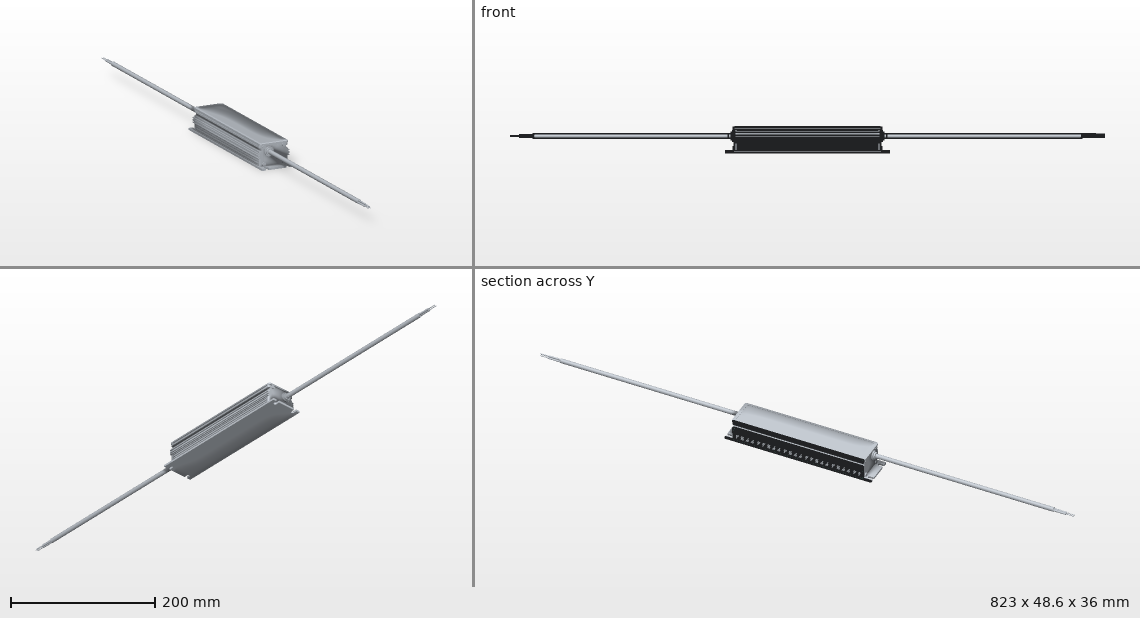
import cadquery as cq
import math

TOTAL_LENGTH = 823.0
TOTAL_WIDTH = 48.6
TOTAL_HEIGHT = 36.0
TOP_Z = TOTAL_HEIGHT / 2
BOTTOM_Z = -TOP_Z

BASE_LENGTH = 226.0
BASE_THICKNESS = 3.0
SLOT_WIDTH = 4.6
SLOT_DEPTH = 8.0
SLOT_Y = 16.1

HOUSING_LENGTH = 195.0
HOUSING_WIDTH = 44.6
WIDE_RIB_HEIGHT = 8.0
WIDE_GROOVE_DEPTH = 3.5
WIDE_GROOVE_Z = 8.7
WIDE_GROOVE_HEIGHT = 4.4
FIN_GROOVE_DEPTH = 1.0
FIN_GROOVE_HEIGHT = 1.6
FIN_GROOVE_ZS = (14.2, 2.0, -2.0, -6.0, -9.5, -13.0)

LID_LENGTH = 205.4
LID_HEIGHT = 3.0
LID_CORNER_RADIUS = 3.0
LID_CHAMFER_WIDTH = 2.4
LID_CHAMFER_HEIGHT = 0.6
PANEL_LENGTH = 195.0
PANEL_WIDTH = 37.0
PANEL_CORNER_RADIUS = 3.0
PANEL_DEPTH = 0.4

CAP_LENGTH = 202.0
CAP_CORNER_RADIUS = 2.0
PAD_WIDTH = 30.0
PAD_HEIGHT = 26.0
PAD_THICKNESS = 0.3
SCREW_HEAD_DIAMETER = 5.6
SCREW_END_X = 102.8
SCREW_Y = 15.5
SCREW_Z = 12.4

CABLE_Y = -7.8
CABLE_Z = 5.5
GLAND_DIAMETER = 14.0
GLAND_FLANGE_END_X = 103.5
GLAND_NECK_DIAMETER = 10.9
GLAND_NECK_END_X = 106.0
GLAND_COLLAR_DIAMETER = 6.8
GLAND_COLLAR_END_X = 110.0

CABLE_DIAMETER = 6.5
CABLE_END_X = 380.0
INSULATION_END_X = 399.0
OUTPUT_WIRE_DIAMETER = 2.9
OUTPUT_CORE_DIAMETER = 1.2
INPUT_WIRE_DIAMETER = 2.4
INPUT_CORE_DIAMETER = 1.2
INPUT_WIRE_COUNT = 3
INPUT_WIRE_CIRCLE_RADIUS = 1.6


def centred_box(length, width, z_low, z_high):
    """Box centred on X and Y between two heights."""
    box = cq.Workplane("XY").box(length, width, z_high - z_low, centered=(True, True, False))
    return box.translate((0, 0, z_low))


def rod(side, diameter, start, end, y, z):
    """Cylinder along X between two distances from the middle; side is -1 or +1."""
    direction = cq.Vector(side, 0, 0)
    origin = cq.Vector(side * start, y, z)
    return cq.Workplane(obj=cq.Solid.makeCylinder(diameter / 2, end - start, origin, direction))


def make_base():
    """Base plate with two round-bottomed slots open at each end."""
    base = centred_box(BASE_LENGTH, TOTAL_WIDTH, BOTTOM_Z, BOTTOM_Z + BASE_THICKNESS)
    slot_length = 2 * SLOT_DEPTH
    centres = [(sx * BASE_LENGTH / 2, sy * SLOT_Y) for sx in (-1, 1) for sy in (-1, 1)]
    slots = (
        cq.Workplane("XY")
        .workplane(offset=BOTTOM_Z)
        .pushPoints(centres)
        .slot2D(slot_length, SLOT_WIDTH)
        .extrude(BASE_THICKNESS)
    )
    return base.cut(slots)


def cut_side_groove(body, z, height, depth):
    """Groove along both long sides, measured in from the housing width."""
    floor_width = HOUSING_WIDTH - 2 * depth
    ring = centred_box(LID_LENGTH, TOTAL_WIDTH, z - height / 2, z + height / 2)
    core = centred_box(LID_LENGTH, floor_width, z - height / 2, z + height / 2)
    return body.cut(ring.cut(core))


def make_housing():
    """Extruded housing with a wide rib, one wide groove and a row of fin grooves on each side."""
    body = centred_box(HOUSING_LENGTH, HOUSING_WIDTH, BOTTOM_Z, TOP_Z - LID_HEIGHT)
    rib = centred_box(CAP_LENGTH, TOTAL_WIDTH, -WIDE_RIB_HEIGHT / 2, WIDE_RIB_HEIGHT / 2)
    body = body.union(rib)
    for z in FIN_GROOVE_ZS:
        body = cut_side_groove(body, z, FIN_GROOVE_HEIGHT, FIN_GROOVE_DEPTH)
    return cut_side_groove(body, WIDE_GROOVE_Z, WIDE_GROOVE_HEIGHT, WIDE_GROOVE_DEPTH)


def make_lid():
    """Lid with rounded corners, a chamfered top edge and a shallow label panel."""
    lid = centred_box(LID_LENGTH, HOUSING_WIDTH, TOP_Z - LID_HEIGHT, TOP_Z)
    lid = lid.edges("|Z").fillet(LID_CORNER_RADIUS)
    lid = lid.faces(">Z").edges().chamfer(LID_CHAMFER_HEIGHT, LID_CHAMFER_WIDTH)
    panel = centred_box(PANEL_LENGTH, PANEL_WIDTH, TOP_Z - PANEL_DEPTH, TOP_Z)
    return lid.cut(panel.edges("|Z").fillet(PANEL_CORNER_RADIUS))


def make_end_caps():
    """Both end caps with raised pads, screw heads and the wide side grooves running through."""
    caps = centred_box(CAP_LENGTH, HOUSING_WIDTH, BOTTOM_Z, TOP_Z - LID_HEIGHT)
    caps = caps.edges("|Z").fillet(CAP_CORNER_RADIUS)
    caps = caps.cut(centred_box(HOUSING_LENGTH, TOTAL_WIDTH, BOTTOM_Z, TOP_Z))
    pad_length = CAP_LENGTH + 2 * PAD_THICKNESS
    caps = caps.union(centred_box(pad_length, PAD_WIDTH, -PAD_HEIGHT / 2, PAD_HEIGHT / 2))
    for side in (-1, 1):
        for y in (-SCREW_Y, SCREW_Y):
            for z in (-SCREW_Z, SCREW_Z):
                head = rod(side, SCREW_HEAD_DIAMETER, HOUSING_LENGTH / 2, SCREW_END_X, y, z)
                caps = caps.union(head)
    return cut_side_groove(caps, WIDE_GROOVE_Z, WIDE_GROOVE_HEIGHT, WIDE_GROOVE_DEPTH)


def make_cable(side):
    """Stepped gland and cable on one end."""
    steps = (
        (GLAND_DIAMETER, GLAND_FLANGE_END_X),
        (GLAND_NECK_DIAMETER, GLAND_NECK_END_X),
        (GLAND_COLLAR_DIAMETER, GLAND_COLLAR_END_X),
        (CABLE_DIAMETER, CABLE_END_X),
    )
    start = HOUSING_LENGTH / 2
    cable = cq.Workplane("XY")
    for diameter, end in steps:
        cable = cable.add(rod(side, diameter, start, end, CABLE_Y, CABLE_Z))
        start = end
    return cable.combine()


def make_wires(side, wire_diameter, core_diameter, offsets):
    """Insulated wires with bare ends, at (y, z) offsets from the cable axis."""
    wires = cq.Workplane("XY")
    for dy, dz in offsets:
        y = CABLE_Y + dy
        z = CABLE_Z + dz
        wires = wires.add(rod(side, wire_diameter, CABLE_END_X, INSULATION_END_X, y, z))
        wires = wires.add(rod(side, core_diameter, INSULATION_END_X, TOTAL_LENGTH / 2, y, z))
    return wires.combine()


output_offsets = [(dy, 0) for dy in (-OUTPUT_WIRE_DIAMETER / 2, OUTPUT_WIRE_DIAMETER / 2)]
input_angles = [math.pi / 2 + 2 * math.pi * i / INPUT_WIRE_COUNT for i in range(INPUT_WIRE_COUNT)]
input_offsets = [
    (INPUT_WIRE_CIRCLE_RADIUS * math.cos(angle), INPUT_WIRE_CIRCLE_RADIUS * math.sin(angle))
    for angle in input_angles
]

result = (
    make_base()
    .union(make_housing())
    .union(make_end_caps())
    .union(make_lid())
    .union(make_cable(-1))
    .union(make_cable(1))
    .union(make_wires(-1, OUTPUT_WIRE_DIAMETER, OUTPUT_CORE_DIAMETER, output_offsets))
    .union(make_wires(1, INPUT_WIRE_DIAMETER, INPUT_CORE_DIAMETER, input_offsets))
)